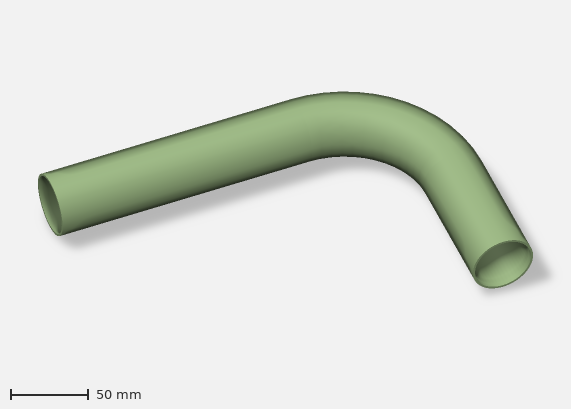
import cadquery as cq

outer_diameter = 42.0
wall_thickness = 1.5
inner_diameter = outer_diameter - 2 * wall_thickness

bend_radius = 76.0
bend_angle = 90.0
long_leg_reach = 250.0
short_leg_reach = 160.0
long_leg_length = long_leg_reach - bend_radius
short_leg_length = short_leg_reach - bend_radius


def tube_section(plane):
    """Annular cross-section of the tube on the given plane."""
    return cq.Workplane(plane).circle(outer_diameter / 2).circle(inner_diameter / 2)


def long_leg():
    """Straight leg along Y, starting at the origin."""
    return tube_section(cq.Plane.XZ()).extrude(-long_leg_length)


def bend():
    """Quarter-circle elbow turning from +Y to +X."""
    start = cq.Plane(origin=(0, long_leg_length, 0), xDir=(1, 0, 0), normal=(0, -1, 0))
    axis_start = (bend_radius, 0)
    axis_end = (bend_radius, -1)
    return tube_section(start).revolve(bend_angle, axis_start, axis_end)


def short_leg():
    """Straight leg along X, leaving the end of the bend."""
    start = cq.Plane(origin=(bend_radius, long_leg_reach, 0), xDir=(0, 1, 0), normal=(1, 0, 0))
    return tube_section(start).extrude(short_leg_length)


result = long_leg().union(bend()).union(short_leg())